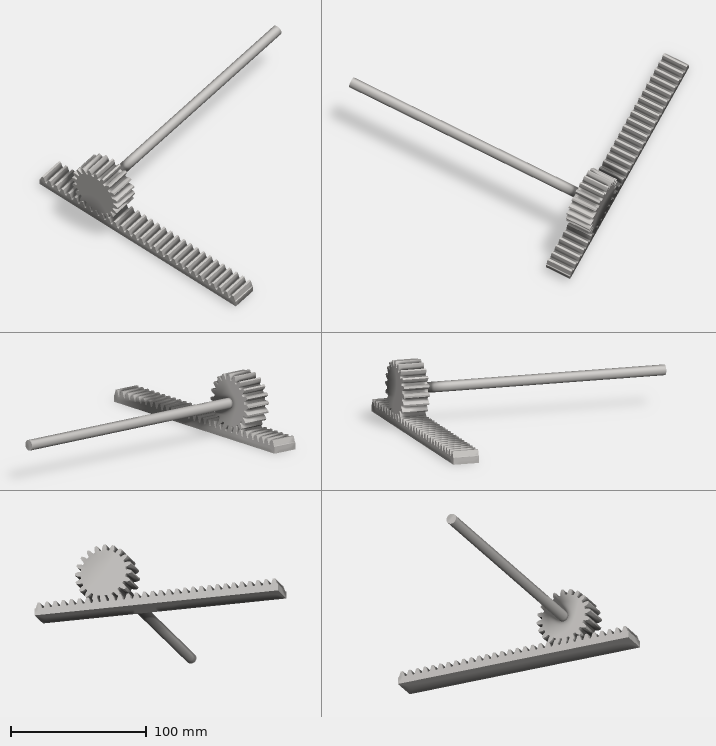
import cadquery as cq
import math

OVERALL_HEIGHT = 49.5
FACE_WIDTH = 20.0

RACK_LENGTH = 188.5
RACK_TEETH = 30
PITCH = RACK_LENGTH / RACK_TEETH
MODULE = PITCH / math.pi
PRESSURE_ANGLE = math.radians(20)
DEDENDUM_FACTOR = 1.25
ADDENDUM = MODULE
DEDENDUM = DEDENDUM_FACTOR * MODULE
ROOT_FILLET = 0.6

RACK_HEIGHT = 9.7
RACK_ROOT_Z = RACK_HEIGHT - ADDENDUM - DEDENDUM

PINION_TEETH = 20
PITCH_RADIUS = MODULE * PINION_TEETH / 2
BASE_RADIUS = PITCH_RADIUS * math.cos(PRESSURE_ANGLE)
TIP_RADIUS = PITCH_RADIUS + ADDENDUM
ROOT_RADIUS = PITCH_RADIUS - DEDENDUM
FOOT_RADIUS = ROOT_RADIUS - MODULE
TOOTH_STEP = 360 / PINION_TEETH
PINION_TURN = 2.6
PINION_X = 53.1
PINION_Z = OVERALL_HEIGHT - TIP_RADIUS
FLANK_POINTS = 6

SHAFT_DIAMETER = 8.0
SHAFT_LENGTH = 210

TOLERANCE = 0.02


def front_sketch(x=0, z=0):
    """Workplane on the front face, X to the right and Z up, centred at (x, z)."""
    return cq.Workplane("XZ", origin=(x, 0, z))


def extrude_back(sketch, depth):
    """Extrude a front-face sketch toward +Y."""
    return sketch.extrude(-depth)



def is_rack_root(edge):
    """True for the corners at the foot of the rack teeth, but not for those at the bar's ends."""
    center = edge.Center()
    at_root = abs(center.z - RACK_ROOT_Z) < TOLERANCE
    between_ends = TOLERANCE < center.x < RACK_LENGTH - TOLERANCE
    return at_root and between_ends


def make_rack(pinion):
    """Bar with straight-flanked teeth, ending mid-gap, relieved where the pinion teeth reach in."""
    tip_half_width = PITCH / 4 - ADDENDUM * math.tan(PRESSURE_ANGLE)
    root_half_width = PITCH / 4 + DEDENDUM * math.tan(PRESSURE_ANGLE)

    outline = [(0, 0), (0, RACK_ROOT_Z)]
    for tooth in range(RACK_TEETH):
        middle = (tooth + 0.5) * PITCH
        outline += [
            (middle - root_half_width, RACK_ROOT_Z),
            (middle - tip_half_width, RACK_HEIGHT),
            (middle + tip_half_width, RACK_HEIGHT),
            (middle + root_half_width, RACK_ROOT_Z),
        ]
    outline += [(RACK_LENGTH, RACK_ROOT_Z), (RACK_LENGTH, 0)]

    bar = extrude_back(front_sketch().polyline(outline).close(), FACE_WIDTH)
    toothed_bar = bar.edges("|Y").filter(is_rack_root).fillet(ROOT_FILLET)
    return toothed_bar.cut(pinion)



def polar(radius, angle):
    """Point at an angle from the middle of an upright tooth, positive to the right."""
    return (radius * math.sin(angle), radius * math.cos(angle))


def involute(angle):
    """Involute function of a pressure angle."""
    return math.tan(angle) - angle


def flank_angle(radius):
    """Angle from a tooth's middle to its involute flank at the given radius."""
    half_tooth_at_pitch = math.pi / (2 * PINION_TEETH)
    return half_tooth_at_pitch + involute(PRESSURE_ANGLE) - involute(math.acos(BASE_RADIUS / radius))


def make_pinion_tooth():
    """Upright tooth about the origin: straight flanks below the base circle, involutes above it."""
    step = (TIP_RADIUS - BASE_RADIUS) / (FLANK_POINTS - 1)
    radii = [BASE_RADIUS + index * step for index in range(FLANK_POINTS)]
    right_flank = [polar(radius, flank_angle(radius)) for radius in radii]
    left_flank = [(-x, z) for x, z in reversed(right_flank)]
    foot_angle = flank_angle(BASE_RADIUS)
    outline = (
        front_sketch()
        .moveTo(*polar(FOOT_RADIUS, foot_angle))
        .lineTo(*right_flank[0])
        .spline(right_flank[1:], includeCurrent=True)
        .threePointArc((0, TIP_RADIUS), left_flank[0])
        .spline(left_flank[1:], includeCurrent=True)
        .lineTo(*polar(FOOT_RADIUS, -foot_angle))
        .close()
    )
    return extrude_back(outline, FACE_WIDTH)


def is_pinion_root(edge):
    """True for the corners at the foot of the pinion teeth, with the pinion about the origin."""
    center = edge.Center()
    return abs(math.hypot(center.x, center.z) - ROOT_RADIUS) < TOLERANCE


def make_pinion():
    """Spur gear with filleted tooth roots and a plain bore for the shaft."""
    pinion = extrude_back(front_sketch().circle(ROOT_RADIUS), FACE_WIDTH)
    tooth = make_pinion_tooth()
    for index in range(PINION_TEETH):
        turn = PINION_TURN + index * TOOTH_STEP
        pinion = pinion.union(tooth.rotate((0, 0, 0), (0, 1, 0), turn))
    pinion = pinion.edges("|Y").filter(is_pinion_root).fillet(ROOT_FILLET)
    bore = extrude_back(front_sketch().circle(SHAFT_DIAMETER / 2), FACE_WIDTH)
    return pinion.cut(bore).translate((PINION_X, 0, PINION_Z))



def make_shaft():
    """Plain round bar through the pinion, flush with its front face."""
    return extrude_back(front_sketch(PINION_X, PINION_Z).circle(SHAFT_DIAMETER / 2), SHAFT_LENGTH)


pinion = make_pinion()
rack = make_rack(pinion)
shaft = make_shaft()

bodies = [rack.solids().val(), pinion.solids().val(), shaft.val()]
result = cq.Compound.makeCompound(bodies)